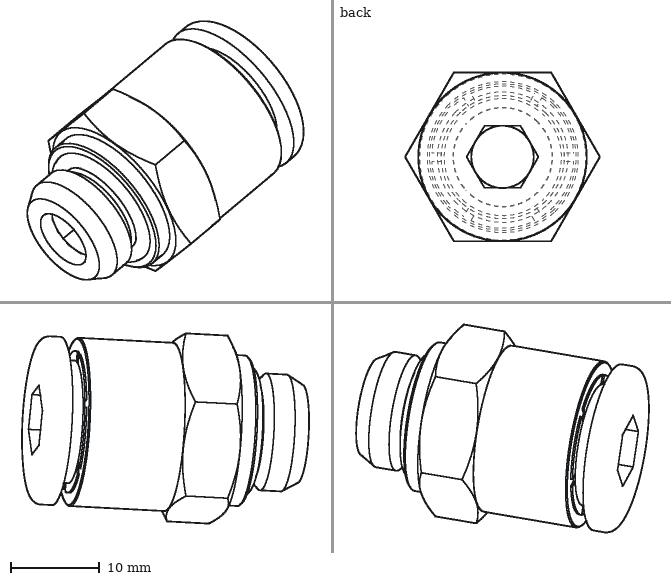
import cadquery as cq
import math


total_length = 30.3
thread_bottom = 0.0
thread_top = 4.2
seal_bottom = 5.5
shoulder_bottom = 6.45
hex_bottom = 8.45
hex_top = 15.0
body_top = 26.0
ring_top = 26.2
flange_bottom = 27.9
flange_edge_top = 29.15

thread_radius = 6.6
groove_radius = 5.6
tip_radius = 5.55
lead_in_angle = 30.0
lead_in_length = (thread_radius - tip_radius) / math.tan(math.radians(lead_in_angle))
run_out_length = thread_radius - groove_radius
seal_outer_radius = 7.35
seal_section_radius = 0.9
seal_centre_y = seal_bottom + seal_section_radius
seal_centre_radius = seal_outer_radius - seal_section_radius

shoulder_radius = 8.5
shoulder_chamfer = 0.25
hex_across_flats = 19.0
hex_end_radius = 9.45
hex_chamfer_angle = 30.0
body_radius = 9.5
body_chamfer = 0.15

ring_radius = 8.0
ring_slot_width = 0.95
ring_slot_count = 6

neck_radius = 6.93
flange_radius = 9.5
rim_radius = 1.0
rim_sweep = math.radians(75)

bore_diameter = 7.0
bore_depth = 1.9
socket_across_flats = bore_diameter


def revolve_about_y(profile):
    """Turn a closed half-profile, drawn as (radius, Y), about the Y axis."""
    return profile.close().revolve(360, (0, 0, 0), (0, 1, 0))


def cylinder(radius, y_start, y_end):
    return revolve_about_y(
        cq.Workplane("XY").moveTo(0, y_start).lineTo(radius, y_start).lineTo(radius, y_end).lineTo(0, y_end)
    )


def hex_prism(across_flats, y_start, y_end):
    """Hexagonal bar along Y with two corners on the X axis."""
    side_count = 6
    across_corners = across_flats / math.cos(math.pi / side_count)
    return (
        cq.Workplane("XZ", origin=(0, y_start, 0))
        .polygon(side_count, across_corners)
        .extrude(y_start - y_end)
    )


def make_thread_spigot():
    return revolve_about_y(
        cq.Workplane("XY")
        .moveTo(0, thread_bottom)
        .lineTo(tip_radius, thread_bottom)
        .lineTo(thread_radius, thread_bottom + lead_in_length)
        .lineTo(thread_radius, thread_top)
        .lineTo(groove_radius, thread_top + run_out_length)
        .lineTo(groove_radius, hex_bottom)
        .lineTo(0, hex_bottom)
    )


def make_seal():
    """Round-section sealing ring seated in the groove against the shoulder."""
    section = cq.Workplane("XY").center(seal_centre_radius, seal_centre_y).circle(seal_section_radius)
    return section.revolve(360, (-seal_centre_radius, 0, 0), (-seal_centre_radius, 1, 0))


def make_shoulder():
    return cylinder(shoulder_radius, shoulder_bottom, hex_bottom).faces("<Y").chamfer(shoulder_chamfer)


def make_hexagon():
    """Hexagon trimmed at its corners by a double cone, widest halfway along the hexagon."""
    half_length = (hex_top - hex_bottom) / 2
    widest_radius = hex_end_radius + half_length / math.tan(math.radians(hex_chamfer_angle))
    double_cone = revolve_about_y(
        cq.Workplane("XY")
        .moveTo(0, hex_bottom)
        .lineTo(hex_end_radius, hex_bottom)
        .lineTo(widest_radius, hex_bottom + half_length)
        .lineTo(hex_end_radius, hex_top)
        .lineTo(0, hex_top)
    )
    return hex_prism(hex_across_flats, hex_bottom, hex_top).intersect(double_cone)


def make_body():
    return cylinder(body_radius, hex_top, body_top).faces(">Y").chamfer(body_chamfer)


def make_segmented_ring():
    ring = cylinder(ring_radius, body_top, ring_top)
    slot_height = ring_top - body_top
    slot = (
        cq.Workplane("XY")
        .box(ring_radius, slot_height, ring_slot_width, centered=(False, False, True))
        .translate((neck_radius, body_top, 0))
    )
    for index in range(ring_slot_count):
        ring = ring.cut(slot.rotate((0, 0, 0), (0, 1, 0), index * 360 / ring_slot_count))
    return ring


def make_release_collar():
    """Collar with a flange whose rim arc, crown arc and flat face meet tangentially."""
    rim_end_radius = flange_radius - rim_radius * (1 - math.cos(rim_sweep))
    rim_end_y = flange_edge_top + rim_radius * math.sin(rim_sweep)
    crown_arc_radius = (total_length - rim_end_y) / (1 - math.sin(rim_sweep))
    flat_radius = rim_end_radius - crown_arc_radius * math.cos(rim_sweep)
    return revolve_about_y(
        cq.Workplane("XY")
        .moveTo(0, body_top)
        .lineTo(neck_radius, body_top)
        .lineTo(neck_radius, flange_bottom)
        .lineTo(flange_radius, flange_bottom)
        .lineTo(flange_radius, flange_edge_top)
        .radiusArc((rim_end_radius, rim_end_y), -rim_radius)
        .radiusArc((flat_radius, total_length), -crown_arc_radius)
        .lineTo(0, total_length)
    )


def make_passage():
    mouth = cylinder(bore_diameter / 2, thread_bottom, bore_depth)
    return mouth.union(hex_prism(socket_across_flats, bore_depth, total_length))


solid_fitting = (
    make_thread_spigot()
    .union(make_seal())
    .union(make_shoulder())
    .union(make_hexagon())
    .union(make_body())
    .union(make_segmented_ring())
    .union(make_release_collar())
)
result = solid_fitting.cut(make_passage())